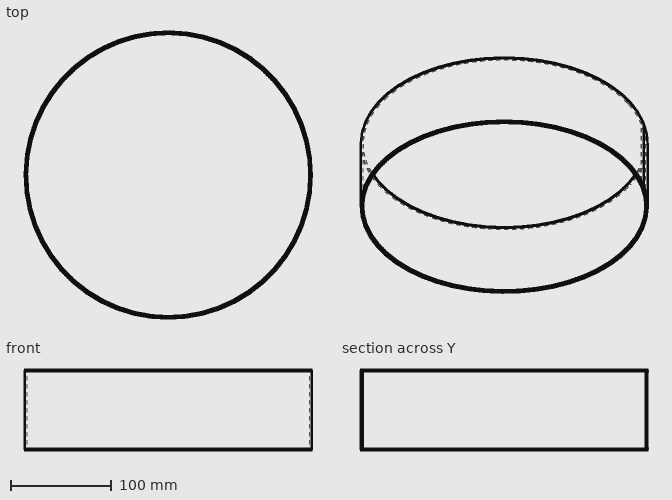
import cadquery as cq

outer_diameter = 285.0
height = 80.0
wall = 2.5
bevel_depth = 0.5
bevel_height = 1.7
slit_width = 2.0

outer_radius = outer_diameter / 2
inner_radius = outer_radius - wall
outer_rim_radius = outer_radius - bevel_depth
inner_rim_radius = inner_radius + bevel_depth


def make_band():
    """Revolved thin wall with steep bevels inside and outside at both rims."""
    profile = [
        (inner_rim_radius, 0),
        (outer_rim_radius, 0),
        (outer_radius, bevel_height),
        (outer_radius, height - bevel_height),
        (outer_rim_radius, height),
        (inner_rim_radius, height),
        (inner_radius, height - bevel_height),
        (inner_radius, bevel_height),
    ]
    return cq.Workplane("XZ").polyline(profile).close().revolve(360, (0, 0, 0), (0, 1, 0))


def make_slit():
    """Full-height cutter through the -X side; one face lies on the XZ plane."""
    slit_length = 2 * wall
    return (
        cq.Workplane("XY")
        .center(-outer_radius + wall / 2, slit_width / 2)
        .rect(slit_length, slit_width)
        .extrude(height)
    )


result = make_band().cut(make_slit())